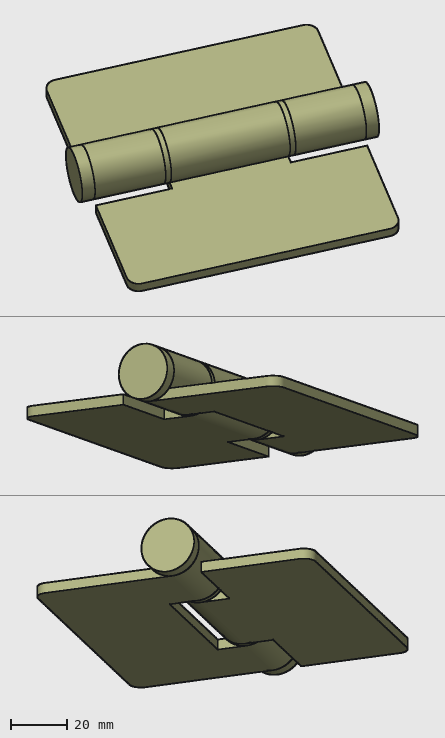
import cadquery as cq

hinge_width = 105.0
pin_length = 110.0
barrel_diameter = 20.0
barrel_radius = barrel_diameter / 2

leaf_length = 100.5
leaf_thickness = 3.8
corner_radius = 4.4
notch_reach = 10.9

middle_knuckle_length = 44.0
washer_thickness = 2.1
washer_outer_y = middle_knuckle_length / 2 + washer_thickness
end_knuckle_length = leaf_length / 2 - washer_outer_y
end_knuckle_center = washer_outer_y + end_knuckle_length / 2
washer_center = middle_knuckle_length / 2 + washer_thickness / 2

pin_diameter = 9.9
head_thickness = (pin_length - leaf_length) / 2
head_center = (leaf_length + head_thickness) / 2


def cylinder(diameter, length, center_y):
    """Cylinder on the hinge axis, centred at center_y."""
    return (
        cq.Workplane("XZ", origin=(0, center_y + length / 2, barrel_radius))
        .circle(diameter / 2)
        .extrude(length)
    )


def leaf_plate(side):
    """Flat plate from the hinge axis outward; side is -1 for -X, 1 for +X."""
    outer_edges = "<X" if side < 0 else ">X"
    return (
        cq.Workplane("XY")
        .center(side * hinge_width / 4, 0)
        .rect(hinge_width / 2, leaf_length)
        .extrude(leaf_thickness)
        .edges("|Z")
        .edges(outer_edges)
        .fillet(corner_radius)
    )


def notch(length, center_y):
    """Block that clears a leaf plate around another leaf's knuckle."""
    return (
        cq.Workplane("XY")
        .center(0, center_y)
        .rect(2 * notch_reach, length)
        .extrude(leaf_thickness)
    )


def add_knuckle(leaf, length, center_y):
    """Join a knuckle to a leaf and bore it for the pin."""
    knuckle = cylinder(barrel_diameter, length, center_y)
    bore = cylinder(pin_diameter, length, center_y)
    return leaf.union(knuckle).cut(bore)


def make_outer_leaf():
    """Leaf on the -X side with a knuckle at each end."""
    leaf = leaf_plate(-1).cut(notch(2 * washer_outer_y, 0))
    for end in (-1, 1):
        leaf = add_knuckle(leaf, end_knuckle_length, end * end_knuckle_center)
    return leaf


def make_middle_leaf():
    """Leaf on the +X side with a single knuckle in the middle."""
    leaf = leaf_plate(1)
    notch_length = (leaf_length - middle_knuckle_length) / 2
    notch_center = (leaf_length + middle_knuckle_length) / 4
    for end in (-1, 1):
        leaf = leaf.cut(notch(notch_length, end * notch_center))
    return add_knuckle(leaf, middle_knuckle_length, 0)


def make_washer(center_y):
    """Ring between the middle knuckle and an end knuckle."""
    ring = cylinder(barrel_diameter, washer_thickness, center_y)
    return ring.cut(cylinder(pin_diameter, washer_thickness, center_y))


def make_pin():
    """Pin through the whole barrel with a full-diameter head at each end."""
    pin = cylinder(pin_diameter, leaf_length, 0)
    for end in (-1, 1):
        pin = pin.union(cylinder(barrel_diameter, head_thickness, end * head_center))
    return pin


outer_leaf = make_outer_leaf()
middle_leaf = make_middle_leaf()
pin = make_pin()
washers = [make_washer(end * washer_center) for end in (-1, 1)]

result = cq.Compound.makeCompound(
    [
        outer_leaf.solids().val(),
        middle_leaf.solids().val(),
        pin.solids().val(),
        *[washer.solids().val() for washer in washers],
    ]
)